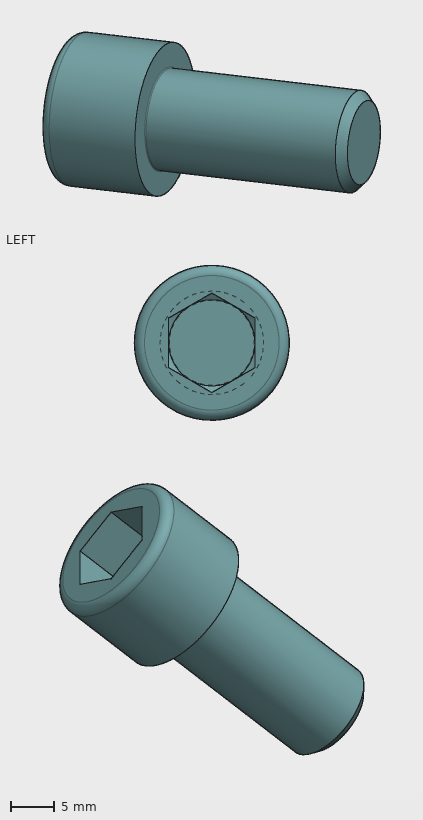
import cadquery as cq
import math

total_length = 37.0
head_diameter = 18.0
head_length = 12.0
head_fillet = 1.2
shank_diameter = 12.0
tip_chamfer = 1.07
neck_fillet = 0.1

socket_across_flats = 10.0
socket_depth = 6.0
socket_cone_angle = 120.0

socket_across_corners = socket_across_flats / math.cos(math.radians(30))
socket_corner_radius = socket_across_corners / 2
floor_radius = socket_across_flats / 2
cone_height = (socket_corner_radius - floor_radius) / math.tan(math.radians(socket_cone_angle / 2))
floor_depth = socket_depth + cone_height


def make_head():
    head = cq.Workplane("YZ").circle(head_diameter / 2).extrude(head_length)
    return head.faces("<X").edges().fillet(head_fillet)


def make_shank():
    shank = cq.Workplane("YZ").workplane(offset=head_length)
    shank = shank.circle(shank_diameter / 2).extrude(total_length - head_length)
    return shank.faces(">X").edges().chamfer(tip_chamfer)


def make_socket():
    """Hexagonal prism, corners up and down, ending in a flat floor with bevelled corners."""
    prism = (
        cq.Workplane("YZ")
        .transformed(rotate=(0, 0, 90))
        .polygon(6, socket_across_corners)
        .extrude(floor_depth)
    )
    envelope = (
        cq.Workplane("XY")
        .lineTo(0, socket_corner_radius)
        .lineTo(socket_depth, socket_corner_radius)
        .lineTo(floor_depth, floor_radius)
        .lineTo(floor_depth, 0)
        .close()
        .revolve(360, (0, 0, 0), (1, 0, 0))
    )
    return prism.intersect(envelope)


def round_neck(body):
    """Fillet the circle where the shank meets the underside of the head."""
    reach = shank_diameter / 2 + neck_fillet
    neck_box = cq.selectors.BoxSelector(
        (head_length - neck_fillet, -reach, -reach),
        (head_length + neck_fillet, reach, reach),
        boundingbox=True,
    )
    return body.edges(neck_box).fillet(neck_fillet)


result = round_neck(make_head().union(make_shank())).cut(make_socket())